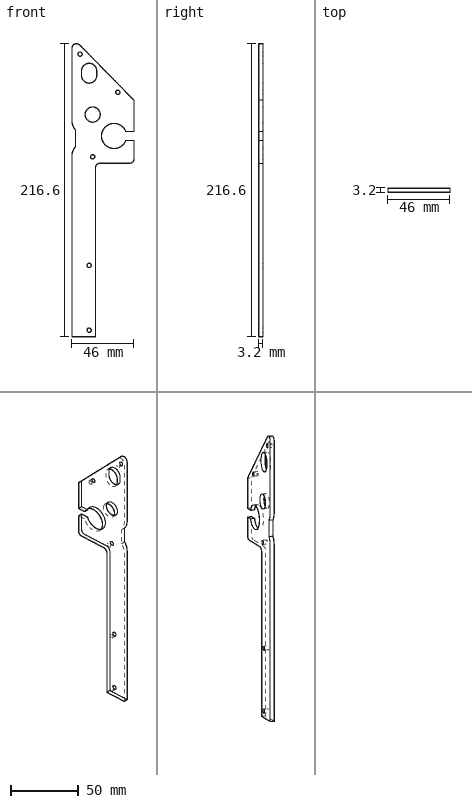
import cadquery as cq
import math

height = 216.6
width = 46.0
thickness = 3.2

shank_width = 17.5
head_bottom = 128.3
slope_bottom = 174.8
tip_radius = 3.5
head_radius = 3.0
inner_radius = 3.2

relief_center_z = 146.7
relief_depth = 2.5
relief_floor_length = 12.3
shoulder_length = 7.0
shoulder_radius = (relief_depth**2 + shoulder_length**2) / (2 * relief_depth)

screw_diameter = 3.0
screw_centers = [(6.0, 208.9), (34.0, 180.7), (15.4, 133.0), (12.8, 52.9), (12.8, 5.0)]
round_diameter = 11.0
round_center = (15.4, 164.2)
oblong_width = 11.0
oblong_length = 14.5
oblong_center = (12.8, 194.8)

bore_diameter = 18.5
bore_center = (31.2, 148.5)
gap_height = 6.5


def front_plane():
    """Workplane whose local axes are X and Z, extruding towards -Y from the back face."""
    return cq.Workplane("XZ", origin=(0, thickness, 0))


def make_plate():
    tip_x = tip_radius
    tip_z = height - tip_radius
    run = width - tip_x
    rise = slope_bottom - tip_z
    normal_angle = math.atan2(rise, run) + math.acos(tip_radius / math.hypot(run, rise))

    def tip_point(angle):
        return (tip_x + tip_radius * math.cos(angle), tip_z + tip_radius * math.sin(angle))

    plate = (
        front_plane()
        .moveTo(0, 0)
        .lineTo(shank_width, 0)
        .lineTo(shank_width, head_bottom)
        .lineTo(width, head_bottom)
        .lineTo(width, slope_bottom)
        .lineTo(*tip_point(normal_angle))
        .threePointArc(tip_point(math.pi / 2), tip_point(math.pi))
        .close()
        .extrude(thickness)
    )

    def round_corner(body, x, z, radius):
        corner = cq.selectors.NearestToPointSelector((x, thickness / 2, z))
        return body.edges("|Y").edges(corner).fillet(radius)

    plate = round_corner(plate, width, head_bottom, head_radius)
    return round_corner(plate, shank_width, head_bottom, inner_radius)


def make_relief():
    half_floor = relief_floor_length / 2
    half_mouth = half_floor + shoulder_length
    half_angle = math.asin(shoulder_length / shoulder_radius) / 2
    mid_x = shoulder_radius * (1 - math.cos(half_angle))
    mid_z = half_mouth - shoulder_radius * math.sin(half_angle)
    return (
        front_plane()
        .center(0, relief_center_z)
        .moveTo(0, half_mouth)
        .threePointArc((mid_x, mid_z), (relief_depth, half_floor))
        .lineTo(relief_depth, -half_floor)
        .threePointArc((mid_x, -mid_z), (0, -half_mouth))
        .close()
        .extrude(thickness)
    )


def make_holes():
    screws = front_plane().pushPoints(screw_centers).circle(screw_diameter / 2).extrude(thickness)
    round_hole = front_plane().center(*round_center).circle(round_diameter / 2).extrude(thickness)
    oblong = front_plane().center(*oblong_center).slot2D(oblong_length, oblong_width, 90).extrude(thickness)
    return screws.union(round_hole).union(oblong)


def make_clamp_opening():
    bore_x, bore_z = bore_center
    bore = front_plane().center(bore_x, bore_z).circle(bore_diameter / 2).extrude(thickness)
    gap_length = width - bore_x
    gap = (
        front_plane()
        .center(bore_x + gap_length / 2, bore_z)
        .rect(gap_length, gap_height)
        .extrude(thickness)
    )
    return bore.union(gap)


result = make_plate().cut(make_relief()).cut(make_holes()).cut(make_clamp_opening())